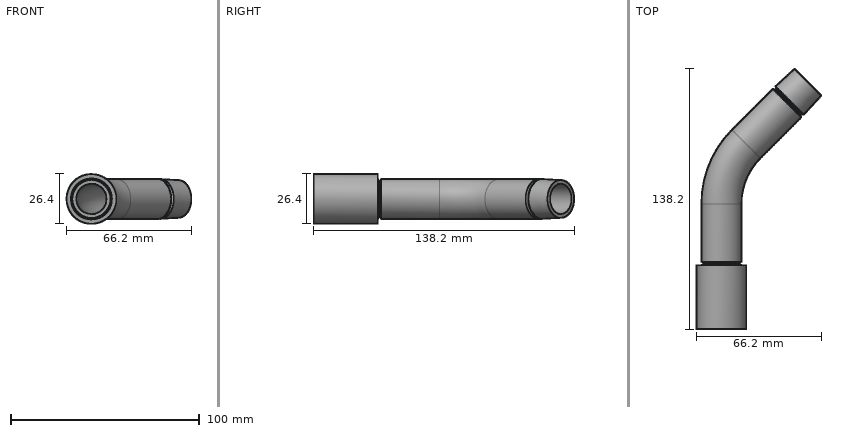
import cadquery as cq
import math

sleeve_radius = 13.2
sleeve_length = 34.0
sleeve_bore_radius = 10.6
mouth_chamfer = 0.3

pipe_radius = 10.69
bore_radius = 8.0
bend_radius = 44.7
bend_angle = 45.0
straight_length = 30.6

groove_radius = 9.5
groove_flank_width = 0.7
groove_width = 2.0
spigot_base_radius = sleeve_bore_radius
spigot_tip_radius = 10.1
spigot_length = 13.8

spigot_base_y = sleeve_length
spigot_tip_y = spigot_base_y - spigot_length
pipe_end_y = spigot_base_y + groove_width
bend_start_y = pipe_end_y + straight_length
bend_rad = math.radians(bend_angle)
bend_end = (
    bend_radius * (1 - math.cos(bend_rad)),
    bend_start_y + bend_radius * math.sin(bend_rad),
)


def make_straight_end():
    """Straight pipe run with groove and hollow spigot, revolved about Y, bend side at bend_start_y."""
    return (
        cq.Workplane("XY")
        .moveTo(bore_radius, bend_start_y)
        .lineTo(pipe_radius, bend_start_y)
        .lineTo(pipe_radius, pipe_end_y)
        .lineTo(groove_radius, pipe_end_y - groove_flank_width)
        .lineTo(groove_radius, spigot_base_y + groove_flank_width)
        .lineTo(spigot_base_radius, spigot_base_y)
        .lineTo(spigot_tip_radius, spigot_tip_y)
        .lineTo(bore_radius, spigot_tip_y)
        .close()
        .revolve(360, (0, 0, 0), (0, 1, 0))
    )


def make_bend():
    """Hollow elbow that turns from +Y toward +X."""
    return (
        cq.Workplane("XZ", origin=(0, bend_start_y, 0))
        .circle(pipe_radius)
        .circle(bore_radius)
        .revolve(bend_angle, (bend_radius, 1.4, 0), (bend_radius, 0, 0))
    )


def make_pipe():
    """Bent pipe: two equal ends joined by the elbow."""
    far_end = (
        make_straight_end()
        .translate((0, -bend_start_y, 0))
        .rotate((0, 0, 0), (0, 0, 1), 180 - bend_angle)
        .translate((bend_end[0], bend_end[1], 0))
    )
    return make_straight_end().union(make_bend()).union(far_end)


def make_sleeve():
    """Coupling sleeve: a plain tube with its bore chamfered at both mouths."""
    mouth_radius = sleeve_bore_radius + mouth_chamfer
    return (
        cq.Workplane("XY")
        .moveTo(mouth_radius, 0)
        .lineTo(sleeve_radius, 0)
        .lineTo(sleeve_radius, sleeve_length)
        .lineTo(mouth_radius, sleeve_length)
        .lineTo(sleeve_bore_radius, sleeve_length - mouth_chamfer)
        .lineTo(sleeve_bore_radius, mouth_chamfer)
        .close()
        .revolve(360, (0, 0, 0), (0, 1, 0))
    )


pipe = make_pipe()
sleeve = make_sleeve()
result = cq.Compound.makeCompound([pipe.val(), sleeve.val()])